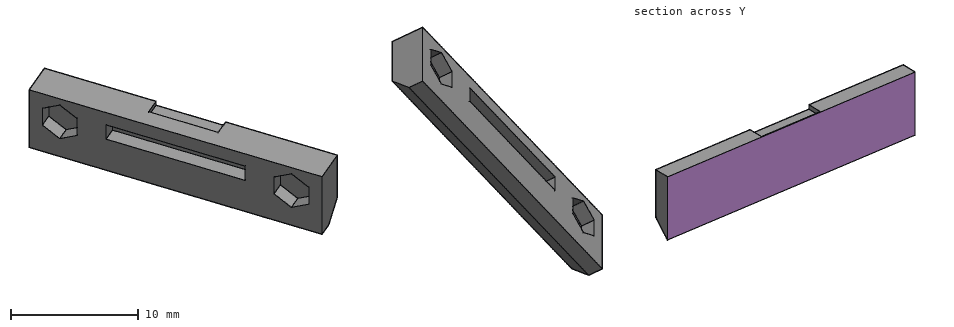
import cadquery as cq
import math

length = 25.3
body_width = 2.89
height = 5.95
chamfer = 1.6

nut_sides = 6
nut_half_angle = 180 / nut_sides
nut_spacing = 20.0
nut_across_flats = 3.0
nut_depth = 1.2
nut_drop = 2.37

slot_length = 12.0
slot_height = 1.47
slot_depth = 1.2
slot_drop = 2.0

notch_length = 6.0
notch_width = 1.4
notch_depth = 0.4



def block(size_x, y_start, size_y, z_start, size_z):
    """Box centred on X = 0, growing from y_start and z_start."""
    box = cq.Workplane("XY").box(size_x, size_y, size_z, centered=(True, False, False))
    return box.translate((0, y_start, z_start))


def make_body():
    """Bar with the lower rear edge cut at 45 degrees."""
    profile = [
        (0, 0),
        (body_width - chamfer, 0),
        (body_width, chamfer),
        (body_width, height),
        (0, height),
    ]
    return cq.Workplane("YZ").polyline(profile).close().extrude(length / 2, both=True)


def make_nut_pocket(x):
    """Hexagonal prism with a corner pointing up, reaching back from the front face."""
    across_corners = nut_across_flats / math.cos(math.radians(nut_half_angle))
    prism = cq.Workplane("XZ").polygon(nut_sides, across_corners).extrude(-nut_depth)
    upright = prism.rotate((0, 0, 0), (0, 1, 0), nut_half_angle)
    return upright.translate((x, 0, height - nut_drop))


def make_slot():
    """Long rectangular recess in the front face."""
    return block(slot_length, 0, slot_depth, height - slot_drop - slot_height / 2, slot_height)


def make_notch():
    """Shallow recess open to the top and the rear face."""
    return block(notch_length, body_width - notch_width, notch_width, height - notch_depth, notch_depth)


result = make_body().cut(make_slot()).cut(make_notch())
for nut_x in (-nut_spacing / 2, nut_spacing / 2):
    result = result.cut(make_nut_pocket(nut_x))